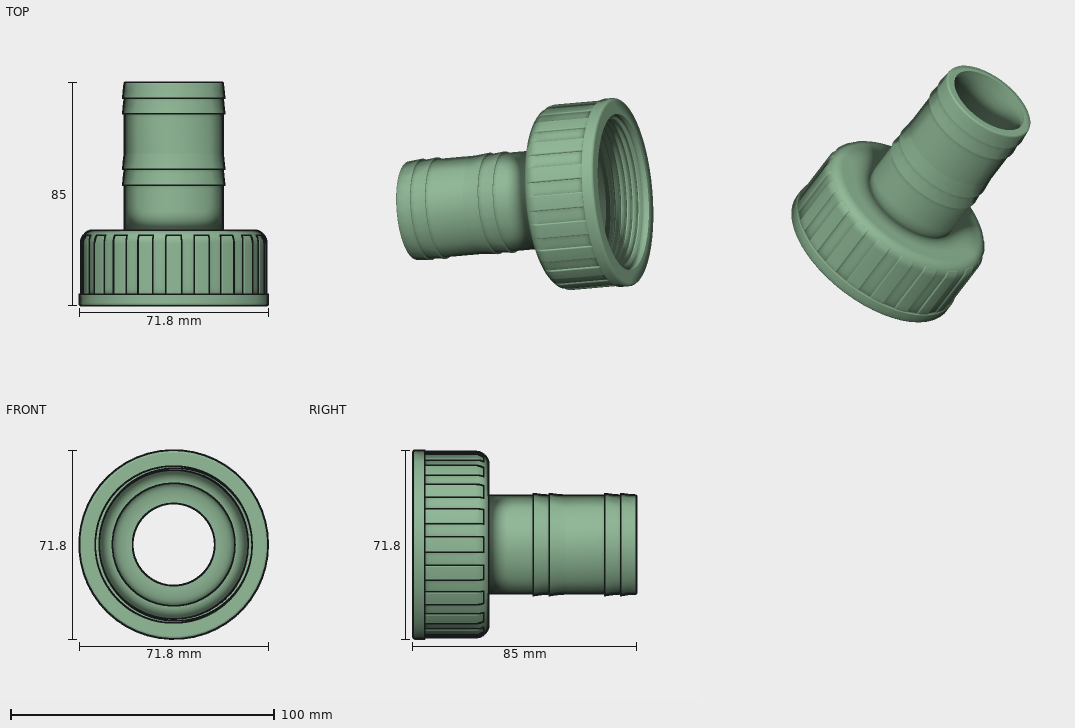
import cadquery as cq
import math


TOTAL_LENGTH = 85.0
TAIL_DIAMETER = 37.5
BORE_DIAMETER = 31.1
BARB_DIAMETER = 38.8
BARB_LENGTH = 6.0
BARBS_PER_GROUP = 2
BARB_GROUP_GAP = 15.05
TIP_ROUNDING = 0.8

GASKET_INNER_DIAMETER = 46.6
GASKET_THICKNESS = 3.15
GASKET_FRONT = 15.0

NUT_LENGTH = 28.8
RIM_DIAMETER = 71.8
RIM_WIDTH = 4.5
RIM_FRONT_ROUNDING = 1.1
RIM_BACK_ROUNDING = 0.25
NUT_BODY_DIAMETER = 69.5
NUT_BACK_ROUNDING = 4.2
NUT_BACK_THICKNESS = 5.0

RIB_COUNT = 20
RIB_HEIGHT = 0.6
RIB_WIDTH = 5.95
RIB_EDGE_ROUNDING = 0.5
RIB_BACK_ROUNDING = 5.0
RIB_END = 26.95
RIB_EMBEDDING = 1.7

THREAD_MINOR_DIAMETER = 56.6
THREAD_MAJOR_DIAMETER = 59.6
THREAD_PITCH = 2.3
MOUTH_DEPTH = 2.4
THREAD_HALF_ANGLE = 27.5
THREAD_CREST_WIDTH = 0.4
THREAD_LEAD_IN_TURNS = 1.25
THREAD_OVERCUT = 0.25

gasket_back = GASKET_FRONT + GASKET_THICKNESS
rim_middle = RIM_WIDTH / 2
flange_back = NUT_LENGTH - NUT_BACK_THICKNESS


def cylinder(diameter, start, end):
    """Cylinder on the Y axis from Y = start to Y = end."""
    return cq.Workplane("XZ", origin=(0, start, 0)).circle(diameter / 2).extrude(start - end)


def make_tail():
    """Barbed hose tail with the flange that the nut pulls against the gasket."""
    tail = cylinder(TAIL_DIAMETER, gasket_back, TOTAL_LENGTH)
    group_length = BARBS_PER_GROUP * BARB_LENGTH
    for group_tip in (TOTAL_LENGTH, TOTAL_LENGTH - group_length - BARB_GROUP_GAP):
        for index in range(BARBS_PER_GROUP):
            tail = tail.union(make_barb(group_tip - index * BARB_LENGTH))
    tail = tail.faces(">Y").edges().fillet(TIP_ROUNDING)
    tail = tail.union(cylinder(THREAD_MINOR_DIAMETER, gasket_back, flange_back))
    return tail.cut(cylinder(BORE_DIAMETER, gasket_back, TOTAL_LENGTH))


def make_barb(tip):
    """Cone that widens from the tail diameter at Y = tip to a sharp shoulder."""
    shoulder = tip - BARB_LENGTH
    return (
        cq.Workplane("XY")
        .moveTo(0, tip)
        .lineTo(TAIL_DIAMETER / 2, tip)
        .lineTo(BARB_DIAMETER / 2, shoulder)
        .lineTo(0, shoulder)
        .close()
        .revolve(360, (0, 0, 0), (0, 1, 0))
    )


def make_gasket():
    """Flat ring clamped against the flange."""
    ring = cylinder(THREAD_MINOR_DIAMETER, GASKET_FRONT, gasket_back)
    return ring.cut(cylinder(GASKET_INNER_DIAMETER, GASKET_FRONT, gasket_back))


def make_round_backed_blank(diameter, rounding):
    """Solid cylinder from inside the rim to the back of the nut, with a rounded back edge."""
    return cylinder(diameter, rim_middle, NUT_LENGTH).faces(">Y").edges().fillet(rounding)


def make_ribs():
    """Grip ribs with rounded long edges, rounded at the back like the nut body, one at a time."""
    top_radius = NUT_BODY_DIAMETER / 2 + RIB_HEIGHT
    root_radius = NUT_BODY_DIAMETER / 2 - RIB_EMBEDDING
    bar_length = RIB_END - rim_middle
    bar_height = RIM_DIAMETER / 2 - root_radius
    bar = cq.Workplane("XY", origin=(0, rim_middle, root_radius)).box(
        RIB_WIDTH, bar_length, bar_height, centered=(True, False, False)
    )
    rib = bar.intersect(make_round_backed_blank(2 * top_radius, RIB_BACK_ROUNDING))
    rib = rib.faces("<X or >X").edges("not (|Z or <Z)").fillet(RIB_EDGE_ROUNDING)
    for index in range(RIB_COUNT):
        yield rib.rotate((0, 0, 0), (0, 1, 0), index * 360 / RIB_COUNT)


def make_thread_groove():
    """Helical groove with sloping flanks, trimmed to the threaded length of the nut."""
    minor_radius = THREAD_MINOR_DIAMETER / 2
    major_radius = THREAD_MAJOR_DIAMETER / 2
    inner_radius = minor_radius - THREAD_OVERCUT
    slope = math.tan(math.radians(THREAD_HALF_ANGLE))
    mouth_half = (THREAD_PITCH - THREAD_CREST_WIDTH) / 2
    root_half = mouth_half - slope * (major_radius - minor_radius)
    inner_half = mouth_half + slope * THREAD_OVERCUT
    start = MOUTH_DEPTH - THREAD_LEAD_IN_TURNS * THREAD_PITCH
    length = GASKET_FRONT + THREAD_PITCH - start
    helix = cq.Wire.makeHelix(THREAD_PITCH, length, minor_radius)
    groove = (
        cq.Workplane("XZ")
        .polyline(
            [
                (inner_radius, -inner_half),
                (major_radius, -root_half),
                (major_radius, root_half),
                (inner_radius, inner_half),
            ]
        )
        .close()
        .sweep(cq.Workplane(helix), isFrenet=True)
        .rotate((0, 0, 0), (0, 0, 1), -360 * THREAD_LEAD_IN_TURNS)
        .rotate((0, 0, 0), (1, 0, 0), -90)
        .translate((0, start, 0))
    )
    return groove.intersect(cylinder(RIM_DIAMETER, MOUTH_DEPTH, GASKET_FRONT))


def make_nut():
    """Union nut with a plain rim, grip ribs and an internal thread."""
    nut = make_round_backed_blank(NUT_BODY_DIAMETER, NUT_BACK_ROUNDING)
    for rib in make_ribs():
        nut = nut.union(rib)
    rim = cylinder(RIM_DIAMETER, 0, RIM_WIDTH)
    rim = rim.faces("<Y").edges().fillet(RIM_FRONT_ROUNDING)
    rim = rim.faces(">Y").edges().fillet(RIM_BACK_ROUNDING)
    nut = nut.union(rim)
    nut = nut.cut(cylinder(THREAD_MINOR_DIAMETER, 0, flange_back))
    nut = nut.cut(cylinder(THREAD_MAJOR_DIAMETER, 0, MOUTH_DEPTH))
    nut = nut.cut(cylinder(TAIL_DIAMETER, flange_back, NUT_LENGTH))
    return nut.cut(make_thread_groove())


tail = make_tail()
gasket = make_gasket()
nut = make_nut()
result = cq.Compound.makeCompound([tail.val(), gasket.val(), nut.val()])